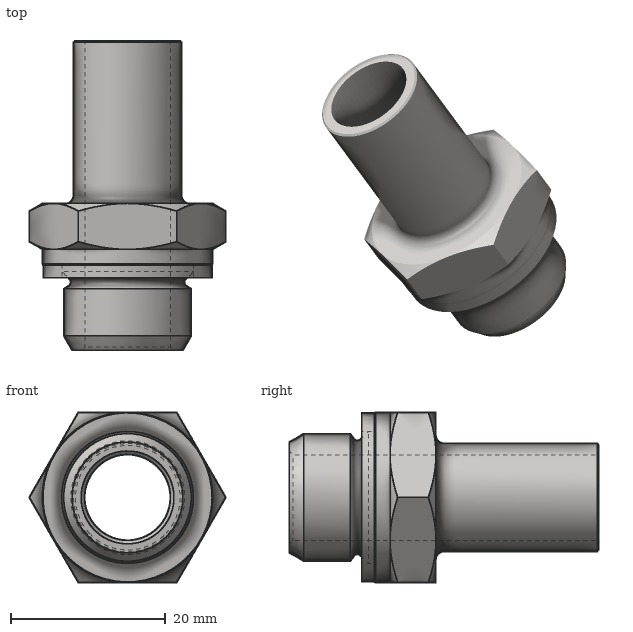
import cadquery as cq
import math

total_length = 40.0
tip_chamfer_length = 1.9
thread_end = 7.9
ring_front = 9.35
collar_front = 10.95
hex_front = 13.05
hex_back = 18.95

across_flats = 22.0
collar_radius = across_flats / 2
ring_radius = 10.9
seat_radius = 8.5
thread_radius = 8.25
tip_radius = 7.15
tube_radius = 7.0
bore_radius = 5.5

bore_chamfer = 0.5
tube_end_chamfer = 0.25
tube_fillet = 1.05
collar_edge_length = 0.25
hex_chamfer_angle = math.radians(30)

neck_radius = 7.35
neck_station = 8.8
neck_arc_radius = 0.55
front_cone_angle = math.radians(60)
back_cone_angle = math.radians(45)

corner_radius = across_flats / math.sqrt(3)
axis_start = (0, 0, 0)
axis_end = (0, 1, 0)


def neck_arc_point(angle):
    """Point on the undercut arc where its tangent makes this angle with the axis."""
    radius = neck_radius + neck_arc_radius * (1 - math.cos(abs(angle)))
    station = neck_station + neck_arc_radius * math.sin(angle)
    return (radius, station)


def make_turned_body():
    """Thread, undercut, ring seat, collar and tube as one revolved profile."""
    arc_start = neck_arc_point(-front_cone_angle)
    arc_end = neck_arc_point(back_cone_angle)
    seat_start = arc_end[1] + (seat_radius - arc_end[0]) / math.tan(back_cone_angle)
    fillet_root = tube_radius + tube_fillet
    fillet_middle = (
        fillet_root - tube_fillet * math.sqrt(0.5),
        hex_back + tube_fillet * (1 - math.sqrt(0.5)),
    )
    profile = (
        cq.Workplane("XY")
        .moveTo(0, 0)
        .lineTo(tip_radius, 0)
        .lineTo(thread_radius, tip_chamfer_length)
        .lineTo(thread_radius, thread_end)
        .lineTo(*arc_start)
        .threePointArc((neck_radius, neck_station), arc_end)
        .lineTo(seat_radius, seat_start)
        .lineTo(seat_radius, collar_front)
        .lineTo(ring_radius, collar_front)
        .lineTo(collar_radius, collar_front + collar_edge_length)
        .lineTo(collar_radius, hex_back)
        .lineTo(fillet_root, hex_back)
        .threePointArc(fillet_middle, (tube_radius, hex_back + tube_fillet))
        .lineTo(tube_radius, total_length - tube_end_chamfer)
        .lineTo(tube_radius - tube_end_chamfer, total_length)
        .lineTo(0, total_length)
        .close()
    )
    return profile.revolve(360, axis_start, axis_end)


def make_hexagon():
    """Hexagon with corners on X, its corners turned down at both faces."""
    hex_length = hex_back - hex_front
    corner_drop = (corner_radius - collar_radius) * math.tan(hex_chamfer_angle)
    prism = (
        cq.Workplane("XZ", origin=(0, hex_back, 0))
        .polygon(6, 2 * corner_radius)
        .extrude(hex_length)
    )
    envelope = (
        cq.Workplane("XY")
        .moveTo(0, hex_front)
        .lineTo(collar_radius, hex_front)
        .lineTo(corner_radius, hex_front + corner_drop)
        .lineTo(corner_radius, hex_back - corner_drop)
        .lineTo(collar_radius, hex_back)
        .lineTo(0, hex_back)
        .close()
        .revolve(360, axis_start, axis_end)
    )
    return prism.intersect(envelope)


def make_bore():
    """Through bore, widened by a chamfer at the threaded end."""
    return (
        cq.Workplane("XY")
        .lineTo(bore_radius + bore_chamfer, 0)
        .lineTo(bore_radius, bore_chamfer)
        .lineTo(bore_radius, total_length)
        .lineTo(0, total_length)
        .close()
        .revolve(360, axis_start, axis_end)
    )


def make_fitting():
    return make_turned_body().union(make_hexagon()).cut(make_bore())


def make_seal_ring():
    """Flat ring on the seat, bearing against the front of the collar."""
    return (
        cq.Workplane("XZ", origin=(0, collar_front, 0))
        .circle(ring_radius)
        .circle(seat_radius)
        .extrude(collar_front - ring_front)
    )


fitting = make_fitting()
seal_ring = make_seal_ring()
result = cq.Compound.makeCompound([fitting.solids().val(), seal_ring.val()])